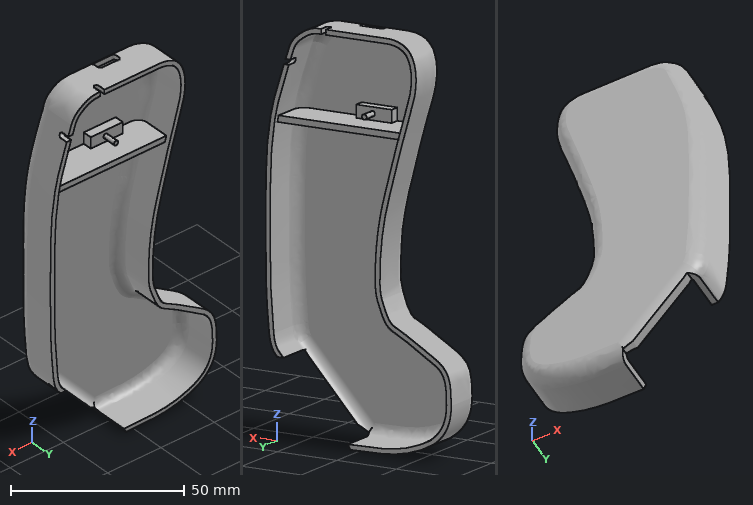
import math

import cadquery as cq

WIDTH = 62.44
DEPTH = 15.5
HEIGHT = 124.15
WALL = 1.6
EDGE_RADIUS = 5.0
CLEARANCE = 5.0

TOP_LEFT = (21.8, HEIGHT)
TOP_RIGHT = (44.3, HEIGHT)
RIGHT_CROWN = (50.6, 122.1)
RIGHT_SHOULDER = (54.6, 117.2)
RIGHT_UPPER = (60.63, 97.0)
RIGHT_BULGE = (WIDTH - 0.02, 64.0)
RIGHT_HEEL = (61.3, 31.2)
HEEL_TURN_X = 59.1
TOE_START = (34.0, 0.0)
TOE_CURVE = (11.5, 2.5)
TOE_LEFT = (0.0, 17.5)
TOE_CORNER = (2.6, 28.5)
TOE_SHOULDER = (8.1, 32.4)
PALM_CURVE = (18.0, 38.1)
PALM_LOW = (23.3, 46.1)
PALM_MIDDLE = (24.0, 53.5)
PALM_HIGH = (20.7, 77.6)
LEFT_UPPER = (14.6, 99.9)
LEFT_SHOULDER = (11.85, 114.0)
LEFT_CROWN = (14.4, 121.4)

RIGHTWARD = (1.0, 0.0)
LEFTWARD = (-1.0, 0.0)
UPWARD = (0.0, 1.0)
SHOULDER_DIRECTION = (0.33, -1.0)
HEEL_DIRECTION = (-0.1, -1.0)
PALM_LOW_DIRECTION = (0.33, 1.0)
PALM_HIGH_DIRECTION = (-0.27, 1.0)

SLANT_LOW = (38.2, 4.5)
SLANT_HIGH = (55.2, 23.3)
SLANT_TRIM = 1.68
TOE_LIP = [(34.0, 0.0), (35.2, 2.2)]
HEEL_LIP = (56.2, 24.5)

PORT_X = 32.4
PORT_Y = -10.9
PORT_WIDTH = 7.9
PORT_HEIGHT = 3.7
PORT_CORNER_RADIUS = 0.8

NOTCH_WIDTH = 1.6
NOTCH_DEPTH = 3.5
TOP_NOTCH_X = 42.95
SIDE_NOTCH_Z = 112.8

DIVIDER_Z = 94.0
DIVIDER_THICKNESS = 2.0
DIVIDER_TOP_Y = -1.8
LEDGE_WIDTH = 12.0
LEDGE_DEPTH = 4.0
LEDGE_TOP_Y = -10.7
PIN_DIAMETER = 1.6
PIN_TOP_Y = -6.0
PIN_X = 32.85


def slant_outline_point(x=None, z=None):
    """Point at the given X or Z on the untrimmed slanted edge, parallel to the cut."""
    run = SLANT_HIGH[0] - SLANT_LOW[0]
    rise = SLANT_HIGH[1] - SLANT_LOW[1]
    length = math.hypot(run, rise)
    start_x = SLANT_LOW[0] + SLANT_TRIM * rise / length
    start_z = SLANT_LOW[1] - SLANT_TRIM * run / length
    if x is None:
        return (start_x + (z - start_z) * run / rise, z)
    return (x, start_z + (x - start_x) * rise / run)


def outline():
    slant_direction = (SLANT_LOW[0] - SLANT_HIGH[0], SLANT_LOW[1] - SLANT_HIGH[1])

    def curve(sketch, points, start_direction, end_direction):
        return sketch.spline(points, tangents=[start_direction, end_direction], includeCurrent=True)

    sketch = cq.Workplane("XZ").moveTo(*TOP_LEFT).lineTo(*TOP_RIGHT)
    sketch = curve(sketch, [RIGHT_CROWN, RIGHT_SHOULDER], RIGHTWARD, SHOULDER_DIRECTION)
    sketch = curve(sketch, [RIGHT_UPPER, RIGHT_BULGE, RIGHT_HEEL], SHOULDER_DIRECTION, HEEL_DIRECTION)
    sketch = curve(sketch, [slant_outline_point(x=HEEL_TURN_X)], HEEL_DIRECTION, slant_direction)
    sketch = sketch.lineTo(*slant_outline_point(z=0.0)).lineTo(*TOE_START)
    sketch = curve(sketch, [TOE_CURVE, TOE_LEFT], LEFTWARD, UPWARD)
    sketch = curve(
        sketch, [TOE_CORNER, TOE_SHOULDER, PALM_CURVE, PALM_LOW], UPWARD, PALM_LOW_DIRECTION
    )
    sketch = curve(sketch, [PALM_MIDDLE, PALM_HIGH], PALM_LOW_DIRECTION, PALM_HIGH_DIRECTION)
    sketch = curve(
        sketch, [LEFT_UPPER, LEFT_SHOULDER, LEFT_CROWN, TOP_LEFT], PALM_HIGH_DIRECTION, RIGHTWARD
    )
    return sketch.close()


def rounded_body():
    return outline().extrude(DEPTH).faces("<Y").edges().fillet(EDGE_RADIUS)


def block(x_range, y_range, z_range):
    size = [high - low for low, high in (x_range, y_range, z_range)]
    corner = cq.Vector(x_range[0], y_range[0], z_range[0])
    return cq.Workplane(cq.Solid.makeBox(*size, corner))


def slant_cutter():
    far_x = WIDTH + CLEARANCE
    corners = [
        (TOE_LIP[0][0], -CLEARANCE),
        *TOE_LIP,
        SLANT_LOW,
        SLANT_HIGH,
        HEEL_LIP,
        (far_x, HEEL_LIP[1]),
        (far_x, -CLEARANCE),
    ]
    return cq.Workplane("XZ").polyline(corners).close().extrude(DEPTH)


def port_cutter():
    reach = 2 * WALL
    return (
        cq.Workplane("XY", origin=(PORT_X, PORT_Y, HEIGHT - reach))
        .rect(PORT_WIDTH, PORT_HEIGHT)
        .extrude(reach + CLEARANCE)
        .edges("|Z")
        .fillet(PORT_CORNER_RADIUS)
    )


def notch_cutter(plane, origin):
    """Round-bottomed slot open at the rim, along the normal of the XY or YZ plane."""
    radius = NOTCH_WIDTH / 2
    round_y = radius - NOTCH_DEPTH
    slot = cq.Workplane(plane, origin=origin)
    if plane == "XY":
        straight = slot.center(0, round_y / 2).rect(NOTCH_WIDTH, -round_y)
        bottom = slot.center(0, round_y)
    else:
        straight = slot.center(round_y / 2, 0).rect(-round_y, NOTCH_WIDTH)
        bottom = slot.center(round_y, 0)
    reach = 3 * WALL + CLEARANCE
    return straight.extrude(reach).union(bottom.circle(radius).extrude(reach))


def divider(cavity):
    front_z = DIVIDER_Z + DIVIDER_THICKNESS
    wall = block((0, WIDTH), (-DEPTH, DIVIDER_TOP_Y), (DIVIDER_Z, front_z)).intersect(cavity)
    ledge_x = (PORT_X - LEDGE_WIDTH / 2, PORT_X + LEDGE_WIDTH / 2)
    ledge = block(ledge_x, (WALL / 2 - DEPTH, LEDGE_TOP_Y), (front_z - WALL / 2, front_z + LEDGE_DEPTH))
    pin = (
        cq.Workplane("XZ", origin=(PIN_X, PIN_TOP_Y, front_z + LEDGE_DEPTH / 2))
        .circle(PIN_DIAMETER / 2)
        .extrude(PIN_TOP_Y - LEDGE_TOP_Y + WALL / 2)
    )
    return wall.union(ledge).union(pin)


body = rounded_body()
shell = body.faces(">Y").shell(-WALL)
result = (
    shell.union(divider(body))
    .cut(slant_cutter())
    .cut(port_cutter())
    .cut(notch_cutter("XY", (TOP_NOTCH_X, 0, HEIGHT - 2 * WALL)))
    .cut(notch_cutter("YZ", (RIGHT_SHOULDER[0] - WALL, 0, SIDE_NOTCH_Z)))
)